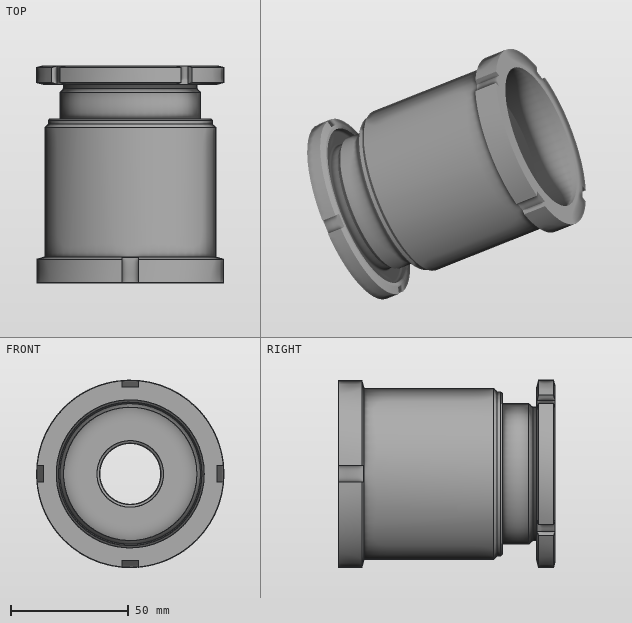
import cadquery as cq
import math

overall_length = 92.59
rim_radius = 40.0
face_radius = 36.5
rim_slope = math.tan(math.radians(15))
rim_chamfer_length = (rim_radius - face_radius) * rim_slope
thread_radius = 30.0

notch_count = 4
notch_depth = 3.0
collar_notch_width = 7.0
flange_notch_width = 6.0
flange_notch_angle = 37.0

housing_length = 70.0
body_radius = face_radius
collar_length = 11.0
shoulder_radius = 35.0
shoulder_length = 3.75
shoulder_chamfer = body_radius - shoulder_radius
housing_end_chamfer = 0.7
counterbore_radius = 31.6
counterbore_depth = 25.0
thread_entry_chamfer = 0.6

spindle_front = 17.0
relief_radius = 28.45
taper_radius = 28.9
slight_taper_length = 0.7
thread_chamfer_length = 1.1
thread_end_length = slight_taper_length + thread_chamfer_length
thread_back = 81.25
flange_length = 8.0
flange_front = overall_length - flange_length
flange_back_radius = 37.2
flange_back_chamfer_length = (rim_radius - flange_back_radius) * rim_slope
recess_radius = 35.2
recess_depth = 2.5
recess_fillet = 0.8
through_hole_radius = 13.0
through_hole_mouth_radius = 14.2
through_hole_chamfer_length = 1.0


def turned(profile):
    """Revolve a closed (radius, Y) outline around the Y axis."""
    return cq.Workplane("XY").polyline(profile).close().revolve(360, (0, 0, 0), (0, 1, 0))


def notch_cutters(width, y_start, length, first_angle):
    """Blocks that cut evenly spaced notches, the first one turned from +X towards +Z."""
    notch_floor = rim_radius - notch_depth
    block_depth = 2 * notch_depth
    block = cq.Workplane("XY").box(block_depth, length, width, centered=(False, False, True))
    block = block.translate((notch_floor, y_start, 0))
    cutters = cq.Workplane("XY")
    for index in range(notch_count):
        angle = first_angle + index * 360 / notch_count
        cutters = cutters.add(block.rotate((0, 0, 0), (0, 1, 0), -angle))
    return cutters.combine()


def make_housing():
    """Sleeve with a notched collar, a counterbore and a threaded bore."""
    shoulder_start = housing_length - shoulder_length
    sleeve = turned([
        (counterbore_radius, 0),
        (rim_radius, 0),
        (rim_radius, collar_length - rim_chamfer_length),
        (body_radius, collar_length),
        (body_radius, shoulder_start),
        (shoulder_radius, shoulder_start + shoulder_chamfer),
        (shoulder_radius, housing_length - housing_end_chamfer),
        (shoulder_radius - housing_end_chamfer, housing_length),
        (thread_radius, housing_length),
        (thread_radius, counterbore_depth + thread_entry_chamfer),
        (thread_radius + thread_entry_chamfer, counterbore_depth),
        (counterbore_radius, counterbore_depth),
    ])
    return sleeve.cut(notch_cutters(collar_notch_width, 0, collar_length, 0))


def make_spindle():
    """Hollow threaded spindle with a notched flange that is recessed around the neck."""
    recess_floor = flange_front + recess_depth
    spindle = turned([
        (through_hole_mouth_radius, spindle_front),
        (relief_radius, spindle_front),
        (taper_radius, spindle_front + slight_taper_length),
        (thread_radius, spindle_front + thread_end_length),
        (thread_radius, thread_back),
        (taper_radius, thread_back + thread_chamfer_length),
        (relief_radius, thread_back + thread_end_length),
        (relief_radius, recess_floor),
        (recess_radius, recess_floor),
        (recess_radius, flange_front),
        (face_radius, flange_front),
        (rim_radius, flange_front + rim_chamfer_length),
        (rim_radius, overall_length - flange_back_chamfer_length),
        (flange_back_radius, overall_length),
        (through_hole_radius, overall_length),
        (through_hole_radius, spindle_front + through_hole_chamfer_length),
    ])
    recess_floor_center = (0, recess_floor, 0)
    spindle = spindle.faces(cq.NearestToPointSelector(recess_floor_center)).edges().fillet(recess_fillet)
    cutters = notch_cutters(flange_notch_width, flange_front, flange_length, 90 - flange_notch_angle)
    return spindle.cut(cutters)


housing = make_housing()
spindle = make_spindle()

result = cq.Compound.makeCompound([housing.val(), spindle.val()])